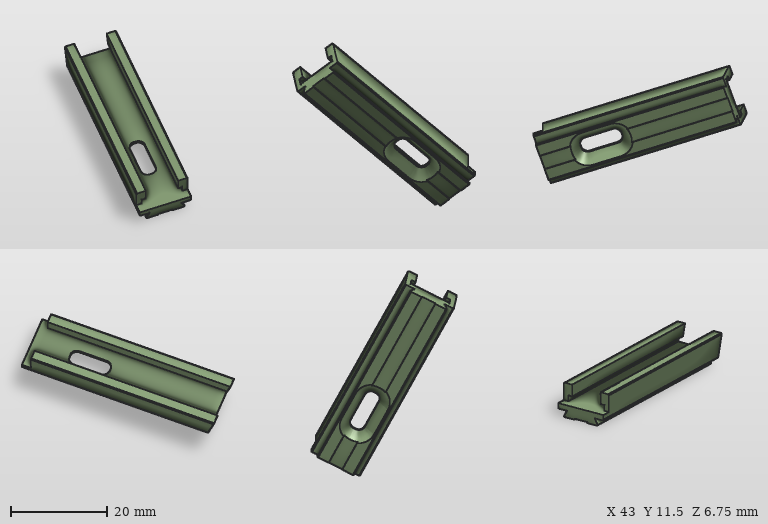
import cadquery as cq
import math

length = 43.0
width = 11.5
height = 6.75

floor_height = 2.8
lip_height = 4.1
channel_width = 9.1
opening_width = 7.22
edge_chamfer = 0.2

foot_height = 1.55
foot_width = 8.6
dovetail_angle = 30.0
tip_chamfer = 0.2
recess_width = 3.2
recess_depth = 0.2

end_angle = 15.0
tongue_length = 2.0

slot_length = 9.0
slot_width = 3.3
slot_corner_radius = 1.4
slot_to_tongue_end = 13.0
slot_land = 0.65
countersink_angle = 45.0


def make_profile():
    """Extrude the symmetric channel and dovetail section along X."""
    outer = width / 2
    neck = foot_width / 2 - (foot_height - tip_chamfer) * math.tan(math.radians(dovetail_angle))
    half = [
        (recess_width / 2, recess_depth),
        (recess_width / 2, 0),
        (foot_width / 2 - tip_chamfer, 0),
        (foot_width / 2, tip_chamfer),
        (neck, foot_height),
        (outer - edge_chamfer, foot_height),
        (outer, foot_height + edge_chamfer),
        (outer, height - edge_chamfer),
        (outer - edge_chamfer, height),
        (opening_width / 2, height),
        (opening_width / 2, lip_height),
        (channel_width / 2, lip_height),
        (channel_width / 2, floor_height),
    ]
    mirrored = [(-y, z) for y, z in reversed(half)]
    return cq.Workplane("YZ").polyline(half + mirrored).close().extrude(length)


def make_side_envelope():
    """Side outline with the sloped end at low X and the tongue at high X."""
    slope_run = height * math.tan(math.radians(end_angle))
    wall_end = length - tongue_length
    outline = [
        (slope_run, 0),
        (length, 0),
        (length, floor_height),
        (wall_end, floor_height),
        (wall_end, height),
        (0, height),
    ]
    return cq.Workplane("XZ").polyline(outline).close().extrude(width / 2, both=True)


def make_slot():
    """Straight slot in the upper floor that flares out to the underside."""
    land_bottom = floor_height - slot_land
    outline = cq.Sketch().rect(slot_length, slot_width).vertices().fillet(slot_corner_radius)
    base = cq.Workplane("XY", origin=(length - slot_to_tongue_end, 0, land_bottom))
    land = base.placeSketch(outline).extrude(slot_land)
    flare = base.placeSketch(outline).extrude(-land_bottom, taper=-countersink_angle)
    return land.union(flare)


result = make_profile().intersect(make_side_envelope()).cut(make_slot())